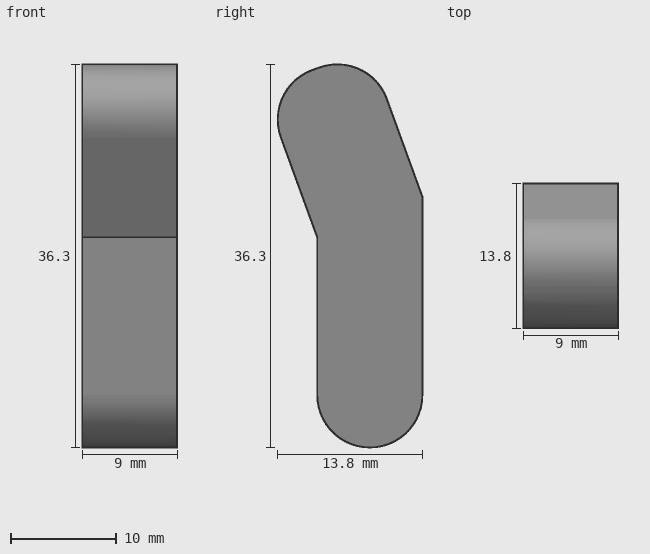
import cadquery as cq
import math

thickness = 9.0
height = 36.33
depth = 13.75
stem_width = 10.0
rear_bend_z = 23.75
tilt = math.radians(20)

radius = stem_width / 2
rear_y = radius
front_y = -radius
tip_y = rear_y - depth

along = (-math.sin(tilt), math.cos(tilt))
across = (-math.cos(tilt), -math.sin(tilt))


def offset(point, direction, distance):
    return (point[0] + direction[0] * distance, point[1] + direction[1] * distance)


rear_tangent_z = height - radius - radius * across[1]
rear_tangent_y = rear_y - (rear_tangent_z - rear_bend_z) * math.tan(tilt)
rear_tangent = (rear_tangent_y, rear_tangent_z)
rear_center = offset(rear_tangent, across, radius)

flat_length = (rear_center[0] - (tip_y + radius)) / math.cos(tilt)
front_center = offset(rear_center, across, flat_length)
front_tangent = offset(front_center, across, radius)
front_bend_z = front_tangent[1] - (front_y - front_tangent[0]) / math.tan(tilt)

diagonal = radius / math.sqrt(2)
rear_arc_mid = offset(offset(rear_center, along, diagonal), across, -diagonal)
front_arc_mid = offset(offset(front_center, along, diagonal), across, diagonal)

result = (
    cq.Workplane("YZ")
    .moveTo(rear_y, radius)
    .lineTo(rear_y, rear_bend_z)
    .lineTo(*rear_tangent)
    .threePointArc(rear_arc_mid, offset(rear_center, along, radius))
    .lineTo(*offset(front_center, along, radius))
    .threePointArc(front_arc_mid, front_tangent)
    .lineTo(front_y, front_bend_z)
    .lineTo(front_y, radius)
    .threePointArc((0, 0), (rear_y, radius))
    .close()
    .extrude(thickness / 2, both=True)
)